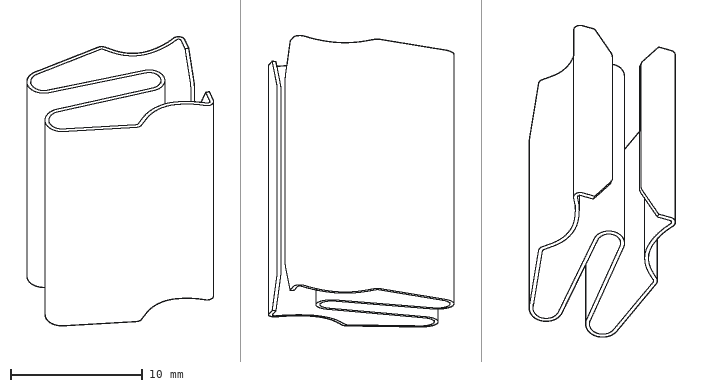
import cadquery as cq
import math


length = 20.0
strip = 0.3
depth = 13.0
half_width = 4.8

fold_radius = 1.05
lobe_radius = 1.15
corner_radius = 0.35
waist_radius = 3.15
flare_radius = 5.85

fold_y = 9.0
lobe_x = -2.29
shoulder_y = 6.57
waist_center = (-6.19, 9.63)
lip_bend_x = -3.6

lip_gap = 2.3
lip_chamfer_height = 2.5
lip_chamfer_angle = 30.0
lip_round_radius = 1.0

start_heading = math.pi
end_heading = 0.0
touching = 1e-6

half_strip = strip / 2
corner_outside = corner_radius + half_strip
shoulder_center = (-half_width + corner_outside, shoulder_y)
lip_bend_center = (lip_bend_x, depth - corner_outside)


def flare_center():
    """Centre of the arc that continues the waist smoothly and runs into the lip bend."""
    from_waist = flare_radius - waist_radius
    from_lip_bend = flare_radius + corner_radius
    dx = lip_bend_center[0] - waist_center[0]
    dy = lip_bend_center[1] - waist_center[1]
    span = math.hypot(dx, dy)
    cosine = (from_waist**2 + span**2 - from_lip_bend**2) / (2 * from_waist * span)
    direction = math.atan2(dy, dx) + math.acos(cosine)
    return (
        waist_center[0] + from_waist * math.cos(direction),
        waist_center[1] + from_waist * math.sin(direction),
    )


bends = [
    ((0.0, fold_y), fold_radius),
    ((lobe_x, lobe_radius + half_strip), -lobe_radius),
    (shoulder_center, -corner_radius),
    (waist_center, waist_radius),
    (flare_center(), flare_radius),
    (lip_bend_center, -corner_radius),
]


def tangent_heading(first, second):
    """Heading of the straight line tangent to two consecutive bends."""
    (x1, y1), radius1 = first
    (x2, y2), radius2 = second
    dx = x2 - x1
    dy = y2 - y1
    sine = (radius2 - radius1) / math.hypot(dx, dy)
    sine = max(-1.0, min(1.0, sine))
    return math.atan2(dy, dx) - math.asin(sine)


def bend_point(center, radius, heading):
    """Point of a bend where the strip runs in the given heading."""
    return (center[0] + radius * math.sin(heading), center[1] - radius * math.cos(heading))


def strip_side(offset):
    """Edges of one face of the strip, lying offset to the left of its middle."""
    joints = [tangent_heading(a, b) for a, b in zip(bends, bends[1:])]
    headings = [start_heading] + joints + [end_heading]
    edges = []
    last = None
    for (center, radius), enter, leave in zip(bends, headings, headings[1:]):
        turn = math.remainder(leave - enter, 2 * math.pi)
        side_radius = radius - offset
        start, middle, end = [
            cq.Vector(*bend_point(center, side_radius, enter + share * turn)) for share in (0, 0.5, 1)
        ]
        if last is not None and (start - last).Length > touching:
            edges.append(cq.Edge.makeLine(last, start))
        edges.append(cq.Edge.makeThreePointArc(start, middle, end))
        last = end
    lip_end = cq.Vector(-lip_gap / 2, last.y)
    edges.append(cq.Edge.makeLine(last, lip_end))
    return edges


def half_strip_body():
    """Left half of the bent strip at full length, centred on Z = 0."""
    left = strip_side(half_strip)
    right = strip_side(-half_strip)
    fold_cut = cq.Edge.makeLine(left[0].startPoint(), right[0].startPoint())
    lip_cut = cq.Edge.makeLine(left[-1].endPoint(), right[-1].endPoint())
    outline = cq.Wire.assembleEdges(left + [lip_cut] + right[::-1] + [fold_cut])
    body = cq.Solid.extrudeLinear(outline, [], cq.Vector(0, 0, length))
    return cq.Workplane("XY").add(body).translate((0, 0, -length / 2))


def lip_corner_cutter():
    """Wedge that slopes the upper corner of the lip and rounds the slope into the lip's end."""
    slope = math.radians(lip_chamfer_angle)
    edge_x = -lip_gap / 2
    top = length / 2
    slope_foot = top - lip_chamfer_height
    slope_top_x = edge_x - lip_chamfer_height * math.tan(slope)
    round_reach = lip_round_radius * math.tan(slope / 2)
    round_center = (edge_x - lip_round_radius, slope_foot - round_reach)

    def round_point(angle):
        return (
            round_center[0] + lip_round_radius * math.cos(angle),
            round_center[1] + lip_round_radius * math.sin(angle),
        )

    return (
        cq.Workplane("XZ", origin=(0, depth, 0))
        .moveTo(*round_point(0))
        .threePointArc(round_point(slope / 2), round_point(slope))
        .lineTo(slope_top_x, top)
        .lineTo(edge_x, top)
        .close()
        .extrude(strip)
    )


upper_cutter = lip_corner_cutter()
half = half_strip_body().cut(upper_cutter).cut(upper_cutter.mirror("XY"))
result = half.union(half.mirror("YZ"))